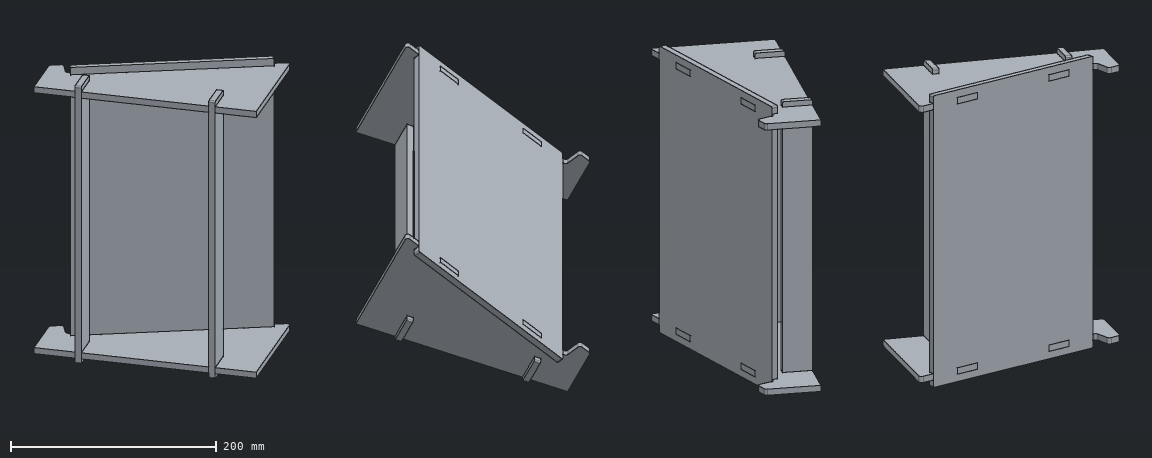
import cadquery as cq
import math

board = 6.5
height = 298.7
base_length = 225.0

slope = 22.0
plate_x = 24.2
plate_y = 44.0
plate_length = 199.5
corner_radius = 3.0

lip_height = 19.7
lip_gap = 4.0

tab_length = 25.0
tab_margin = 30.0

bar_depth = 30.0
bar_length = 294.2
bar_inset = 41.5
edge_radius = 1.5

side_inset = 7.8
side_bottoms = [side_inset, height - side_inset - board]
bar_starts = [bar_inset, base_length - bar_inset - board]
bar_bottom = (height - bar_length) / 2
tab_starts = [tab_margin, plate_length - tab_margin - tab_length]


def on_slope(along, above):
    """XY point from distances up the slope and square to it, from the plate's lower end."""
    angle = math.radians(slope)
    x = plate_x + along * math.cos(angle) - above * math.sin(angle)
    y = plate_y + along * math.sin(angle) + above * math.cos(angle)
    return (x, y)


def slope_at(x, above):
    """XY point at a given x on the line parallel to the slope."""
    angle = math.radians(slope)
    return (x, plate_y + (x - plate_x) * math.tan(angle) + above / math.cos(angle))


def slope_block(start, length, bottom, block_height):
    """Block one board thick whose outer face lies on the sloping face."""
    corners = [
        on_slope(start, 0),
        on_slope(start + length, 0),
        on_slope(start + length, -board),
        on_slope(start, -board),
    ]
    return cq.Workplane("XY").workplane(offset=bottom).polyline(corners).close().extrude(block_height)


def bar_block(x):
    """Full rectangular block of a cross bar."""
    return cq.Workplane("XY").box(board, bar_depth, bar_length, centered=False).translate((x, 0, bar_bottom))


def make_plate():
    """Rest plate with rounded corners and a through slot for each tab."""
    plate = slope_block(0, plate_length, 0, height)
    through_thickness = cq.Vector(*on_slope(0, 0)) - cq.Vector(*on_slope(0, -board))
    plate = plate.edges(cq.selectors.ParallelDirSelector(through_thickness)).fillet(edge_radius)
    for bottom in side_bottoms:
        for start in tab_starts:
            plate = plate.cut(slope_block(start, tab_length, bottom, board))
    return plate


def make_bar(x):
    """Cross bar with rounded corners."""
    return bar_block(x).edges("|X").fillet(edge_radius)


def make_side(bottom, rest_plate, bars):
    """Side board with a lip, recessed around the plate to leave its two tabs, and slotted for the bars."""
    outline = [
        (0, 0),
        (base_length, 0),
        slope_at(base_length, 0),
        on_slope(-lip_gap, 0),
        on_slope(-lip_gap, lip_height),
        slope_at(0, lip_height),
    ]
    blank = cq.Workplane("XY").workplane(offset=bottom).polyline(outline).close().extrude(board)
    side = blank.edges("|Z").edges("not <Y").fillet(corner_radius)
    side = side.cut(rest_plate)
    for bar in bars:
        side = side.cut(bar)
    return side


rest_plate = make_plate()
bars = [make_bar(x) for x in bar_starts]
sides = [make_side(bottom, rest_plate, bars) for bottom in side_bottoms]

result = cq.Compound.makeCompound(
    [rest_plate.val(), *[side.val() for side in sides], *[bar.val() for bar in bars]]
)